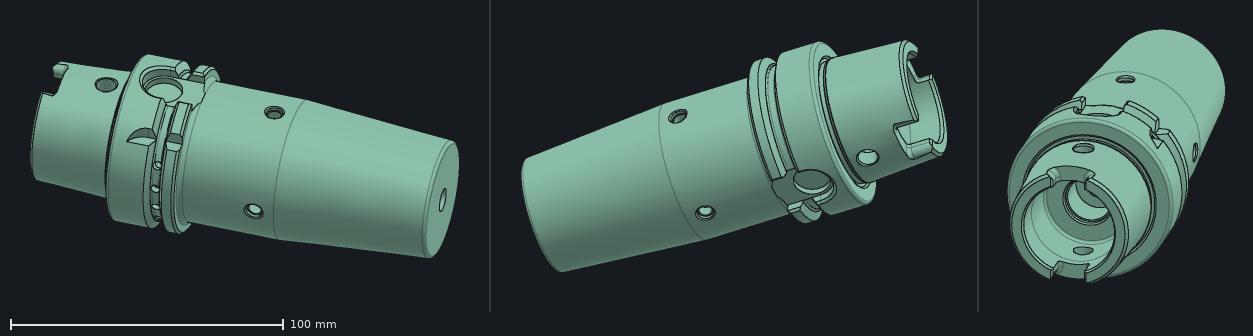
import cadquery as cq
import math

length = 152.0

shank_tip_r = 22.5
shank_tip_chamfer = 1.0
shank_root_r = 24.0
relief_start_x = 29.6
relief_depth = 0.3
relief_land = 0.6

flange_r = 31.5
flange_start_x = 31.9
flange_end_x = 58.0
flange_round = 1.2
flange_rim_chamfer = 0.9
face_groove_r = 25.4
face_groove_depth = 0.8
groove_floor_r = 27.5
groove_shoulder_r = 28.5
groove_start_x = 46.5
groove_floor_start_x = 48.2
groove_floor_end_x = 51.8
groove_corner_r = 0.6
groove_end_x = 53.5

collar_r = 28.0
collar_end_x = 60.0
body_r = 26.5
body_end_x = 95.0
nose_end_r = 22.2
nose_round = 1.2

mouth_r = 17.8
mouth_chamfer = 1.2
front_bore_r = 17.2
front_bore_end_x = 12.9
rear_bore_r = 16.7
rear_bore_end_x = 30.4
bore_floor_round = 1.0
socket_r = 8.4
socket_lead_r = 9.0
socket_lead_depth = 2.3
socket_chamfer = 0.6
socket_end_x = 45.6
through_r = 4.3

cross_x = 22.8
cross_r = 3.6
cross_rim_r = 4.3
cross_countersink = 0.6

slot_half = 6.0
slot_flare_z = 18.1
slot_flare_r = 2.7
slot_flare_half = 12.2
slot_corner_r = 1.5
slot_mouth_chamfer = 0.8
upper_slot_depth = 6.1
lower_slot_depth = 9.5

keyway_x = 45.0
keyway_r = 7.9
keyway_floor_z = 26.3
keyway_chamfer = 1.0
recess_r = 6.8
recess_depth = 2.6

notch_y = -19.9
notch_floor_z = 19.9
notch_r = 7.6

groove_hole_angles = (25, 5, -15, -35)
groove_hole_r = 1.6
groove_hole_depth = 3.0
groove_hole_tip_depth = 0.9

balance_x = 87.4
balance_count = 4
balance_rim_r = 3.6
balance_r = 3.0
balance_drill_r = 2.5
balance_countersink = 0.6
balance_step_depth = 1.8
balance_depth = 6.1
balance_tip_depth = 1.5

arc_mid = math.sqrt(0.5)


def revolve_x(sketch):
    """Close an (x, radius) outline and turn it around the X axis."""
    return sketch.close().revolve(360, (0, 0, 0), (1, 0, 0))


def radial_tool(outline, x, angle):
    """Turn a (radius, height) outline around Z, then aim it outward at an angle from -Y towards +Z."""
    tool = cq.Workplane("XZ").polyline(outline).close().revolve(360, (0, 0, 0), (0, 1, 0))
    return tool.rotate((0, 0, 0), (1, 0, 0), 90 - angle).translate((x, 0, 0))


def outer_body():
    """Shank, flange, collar and nose as one turned solid."""
    collar_w = collar_end_x - flange_end_x
    collar_h = collar_r - body_r
    taper = (body_r - nose_end_r) / (length - body_end_x)
    nose_edge_r = nose_end_r + taper * nose_round
    relief_r = shank_root_r - relief_depth
    face_groove_x = flange_start_x + face_groove_depth
    corner = groove_corner_r * (1 - arc_mid)
    return revolve_x(
        cq.Workplane("XY")
        .moveTo(0, 0)
        .lineTo(0, shank_tip_r - shank_tip_chamfer)
        .lineTo(shank_tip_chamfer, shank_tip_r)
        .lineTo(relief_start_x, shank_root_r)
        .lineTo(relief_start_x + relief_depth, relief_r)
        .lineTo(relief_start_x + relief_depth + relief_land, relief_r)
        .lineTo(relief_start_x + 2 * relief_depth + relief_land, relief_r - relief_depth)
        .lineTo(face_groove_x, relief_r - relief_depth)
        .lineTo(face_groove_x, face_groove_r - face_groove_depth)
        .lineTo(flange_start_x, face_groove_r)
        .lineTo(flange_start_x, flange_r - flange_round)
        .threePointArc(
            (flange_start_x + flange_round * (1 - arc_mid), flange_r - flange_round * (1 - arc_mid)),
            (flange_start_x + flange_round, flange_r),
        )
        .lineTo(groove_start_x, flange_r)
        .lineTo(groove_floor_start_x, groove_shoulder_r)
        .lineTo(groove_floor_start_x, groove_floor_r + groove_corner_r)
        .threePointArc(
            (groove_floor_start_x + corner, groove_floor_r + corner),
            (groove_floor_start_x + groove_corner_r, groove_floor_r),
        )
        .lineTo(groove_floor_end_x - groove_corner_r, groove_floor_r)
        .threePointArc(
            (groove_floor_end_x - corner, groove_floor_r + corner),
            (groove_floor_end_x, groove_floor_r + groove_corner_r),
        )
        .lineTo(groove_floor_end_x, groove_shoulder_r)
        .lineTo(groove_end_x, flange_r)
        .lineTo(flange_end_x - flange_rim_chamfer, flange_r)
        .lineTo(flange_end_x, flange_r - flange_rim_chamfer)
        .lineTo(flange_end_x, collar_r)
        .threePointArc(
            (collar_end_x - collar_w * arc_mid, collar_r - collar_h * arc_mid),
            (collar_end_x, body_r),
        )
        .lineTo(body_end_x, body_r)
        .lineTo(length - nose_round, nose_edge_r)
        .threePointArc(
            (length - nose_round * (1 - arc_mid), nose_edge_r - nose_round * (1 - arc_mid)),
            (length, nose_edge_r - nose_round),
        )
        .lineTo(length, 0)
    )


def bores():
    """Stepped bore along the axis: shank cavity, socket and through hole."""
    return revolve_x(
        cq.Workplane("XY")
        .moveTo(0, 0)
        .lineTo(0, mouth_r)
        .lineTo(mouth_chamfer, front_bore_r)
        .lineTo(front_bore_end_x, front_bore_r)
        .lineTo(rear_bore_end_x - bore_floor_round, rear_bore_r)
        .threePointArc(
            (
                rear_bore_end_x - bore_floor_round * (1 - arc_mid),
                rear_bore_r - bore_floor_round * (1 - arc_mid),
            ),
            (rear_bore_end_x, rear_bore_r - bore_floor_round),
        )
        .lineTo(rear_bore_end_x, socket_lead_r + socket_chamfer)
        .lineTo(rear_bore_end_x + socket_chamfer, socket_lead_r)
        .lineTo(rear_bore_end_x + socket_lead_depth, socket_lead_r)
        .lineTo(rear_bore_end_x + socket_lead_depth, socket_r)
        .lineTo(socket_end_x, socket_r)
        .lineTo(socket_end_x, through_r)
        .lineTo(length, through_r)
        .lineTo(length, 0)
    )


def keyed_blank():
    """Plain bar of flange diameter with both chamfered keyways; limits the turned body."""
    bar = cq.Workplane("YZ").circle(flange_r).extrude(length)
    run = collar_end_x - keyway_x
    for side in (1, -1):
        keyway = (
            cq.Workplane("XY")
            .moveTo(keyway_x, -keyway_r)
            .lineTo(keyway_x + run, -keyway_r)
            .lineTo(keyway_x + run, keyway_r)
            .lineTo(keyway_x, keyway_r)
            .threePointArc((keyway_x - keyway_r, 0), (keyway_x, -keyway_r))
            .close()
            .extrude(side * flange_r)
            .translate((0, 0, side * keyway_floor_z))
        )
        recess = (
            cq.Workplane("XY")
            .center(keyway_x, 0)
            .circle(recess_r)
            .extrude(side * flange_r)
            .translate((0, 0, side * (keyway_floor_z - recess_depth)))
        )
        bar = bar.cut(keyway)
        rim_z = math.sqrt(flange_r**2 - keyway_r**2)
        rim_box = cq.selectors.BoxSelector(
            (keyway_x - 2 * keyway_r, -2 * keyway_r, side * (rim_z - keyway_chamfer)),
            (collar_end_x - keyway_chamfer, 2 * keyway_r, side * (flange_r + keyway_chamfer)),
        )
        bar = bar.edges(rim_box).chamfer(keyway_chamfer)
        bar = bar.cut(recess)
    return bar


def drive_slot(depth, side):
    """Slot in the shank mouth with a rounded floor corner and walls that flare outward."""
    flare_z = slot_flare_z + slot_flare_r
    flare_y = slot_half + slot_flare_r
    mid = slot_flare_r * (1 - arc_mid)
    slot = (
        cq.Workplane("YZ")
        .moveTo(-slot_half, 0)
        .lineTo(slot_half, 0)
        .lineTo(slot_half, slot_flare_z)
        .threePointArc((slot_half + mid, flare_z - mid), (flare_y, flare_z))
        .lineTo(slot_flare_half, flare_z)
        .lineTo(slot_flare_half, flange_r)
        .lineTo(-slot_flare_half, flange_r)
        .lineTo(-slot_flare_half, flare_z)
        .lineTo(-flare_y, flare_z)
        .threePointArc((-slot_half - mid, flare_z - mid), (-slot_half, slot_flare_z))
        .close()
        .extrude(depth)
        .faces(">X")
        .edges()
        .fillet(slot_corner_r)
    )
    outer_half = slot_half + slot_mouth_chamfer
    mouth = (
        cq.Workplane("XY")
        .polyline([
            (0, -outer_half),
            (slot_mouth_chamfer, -slot_half),
            (slot_mouth_chamfer, slot_half),
            (0, outer_half),
        ])
        .close()
        .extrude(flare_z)
    )
    return slot.union(mouth).rotate((0, 0, 0), (1, 0, 0), 0 if side > 0 else 180)


def index_notch():
    """End-milled corner notch: floor facing +Z, wall facing -Y, run-out arc towards the shank."""
    return (
        cq.Workplane("XY")
        .moveTo(flange_end_x, notch_y)
        .lineTo(keyway_x, notch_y)
        .threePointArc((keyway_x - notch_r, notch_y - notch_r), (keyway_x, notch_y - 2 * notch_r))
        .lineTo(flange_end_x, notch_y - 2 * notch_r)
        .close()
        .extrude(flange_r)
        .translate((0, 0, notch_floor_z))
    )


def cross_hole(side):
    """One half of the countersunk hole across the shank, opening towards +Z or -Z."""
    taper = (shank_root_r - shank_tip_r) / (relief_start_x - shank_tip_chamfer)
    surface = shank_tip_r + taper * (cross_x - shank_tip_chamfer)
    outline = [
        (0, 0),
        (cross_r, 0),
        (cross_r, surface - cross_countersink),
        (cross_rim_r, surface),
        (cross_rim_r, flange_r),
        (0, flange_r),
    ]
    return radial_tool(outline, cross_x, 90 * side)


def groove_hole(angle):
    """Blind hole with a conical drill tip."""
    bottom = groove_floor_r - groove_hole_depth
    outline = [
        (0, bottom - groove_hole_tip_depth),
        (groove_hole_r, bottom),
        (groove_hole_r, flange_r),
        (0, flange_r),
    ]
    return radial_tool(outline, (groove_floor_start_x + groove_floor_end_x) / 2, angle)


def balance_hole(angle):
    """Countersunk, stepped blind hole with a conical drill tip."""
    outline = [
        (0, body_r - balance_depth - balance_tip_depth),
        (balance_drill_r, body_r - balance_depth),
        (balance_drill_r, body_r - balance_step_depth),
        (balance_r, body_r - balance_step_depth),
        (balance_r, body_r - balance_countersink),
        (balance_rim_r, body_r),
        (balance_rim_r, flange_r),
        (0, flange_r),
    ]
    return radial_tool(outline, balance_x, angle)


result = outer_body().intersect(keyed_blank()).cut(bores())
result = result.cut(drive_slot(upper_slot_depth, 1)).cut(drive_slot(lower_slot_depth, -1))
result = result.cut(index_notch())
for opening in (1, -1):
    result = result.cut(cross_hole(opening))
for hole_angle in groove_hole_angles:
    result = result.cut(groove_hole(hole_angle))
for index in range(balance_count):
    result = result.cut(balance_hole(index * 360 / balance_count))